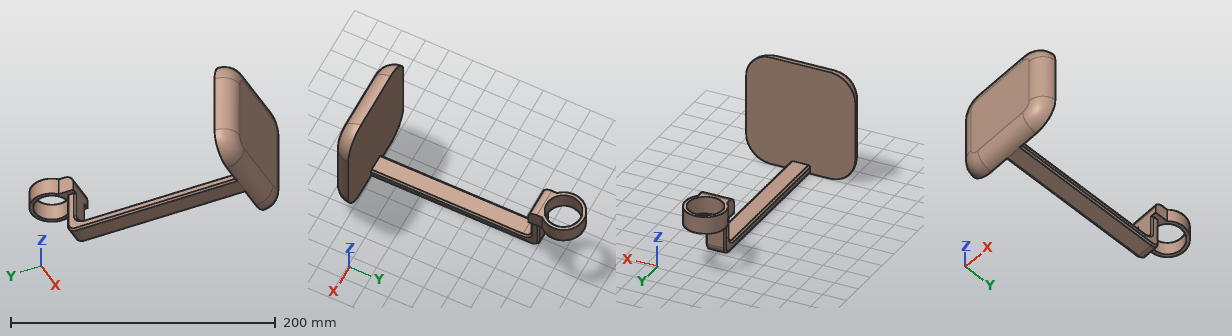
import cadquery as cq

plate_side = 92.4
plate_thickness = 14.3
plate_corner_radius = 21.3
plate_front_radius = 14.0

total_length = 190.5
ring_outer_diameter = 34.3
ring_bore_diameter = 28.5
ring_height = 14.5
ring_top_z = 50.0
ring_bottom_z = ring_top_z - ring_height
ring_center_y = total_length - ring_outer_diameter / 2

block_front_y = 149.5
block_width = 24.8
block_top_radius = 7.2

arm_width = 16.8
arm_thickness = 7.2
arm_inner_radius = 7.2
arm_outer_radius = 7.2
arm_edge_chamfer = 1.5
arm_back_y = block_front_y + arm_thickness

end_margin = 0.2


def make_plate():
    """Square plate with rounded corners and a fully rounded front rim."""
    plate = (
        cq.Workplane("XZ")
        .center(0, plate_side / 2)
        .rect(plate_side, plate_side)
        .extrude(-plate_thickness)
        .edges("|Y")
        .fillet(plate_corner_radius)
    )
    return plate.faces("<Y").edges().fillet(plate_front_radius)


def make_arm():
    """Bent bar with every long edge bevelled, from the plate back to the block underside."""
    bar = (
        cq.Workplane("YZ")
        .moveTo(plate_thickness, 0)
        .lineTo(arm_back_y - arm_outer_radius, 0)
        .radiusArc((arm_back_y, arm_outer_radius), -arm_outer_radius)
        .lineTo(arm_back_y, ring_bottom_z)
        .lineTo(block_front_y, ring_bottom_z)
        .lineTo(block_front_y, arm_thickness + arm_inner_radius)
        .radiusArc((block_front_y - arm_inner_radius, arm_thickness), arm_inner_radius)
        .lineTo(plate_thickness, arm_thickness)
        .close()
        .extrude(arm_width / 2, both=True)
    )
    side_edges = bar.faces("<X or >X").edges()
    long_edges = side_edges.filter(
        lambda edge: edge.Center().y > plate_thickness + end_margin
        and edge.Center().z < ring_bottom_z - end_margin
    )
    return long_edges.chamfer(arm_edge_chamfer)


def make_holder():
    """Ring and block, with the bore running through both."""
    block_length = ring_center_y - block_front_y
    block = (
        cq.Workplane("XY", origin=(0, block_front_y + block_length / 2, ring_bottom_z))
        .box(block_width, block_length, ring_height, centered=(True, True, False))
    )
    ring_plane = cq.Workplane("XY", origin=(0, ring_center_y, ring_bottom_z))
    ring = ring_plane.circle(ring_outer_diameter / 2).extrude(ring_height)
    bore = ring_plane.circle(ring_bore_diameter / 2).extrude(ring_height)
    body = block.union(ring).edges(">Z and <Y").fillet(block_top_radius)
    return body.cut(bore)


result = make_plate().union(make_arm()).union(make_holder())